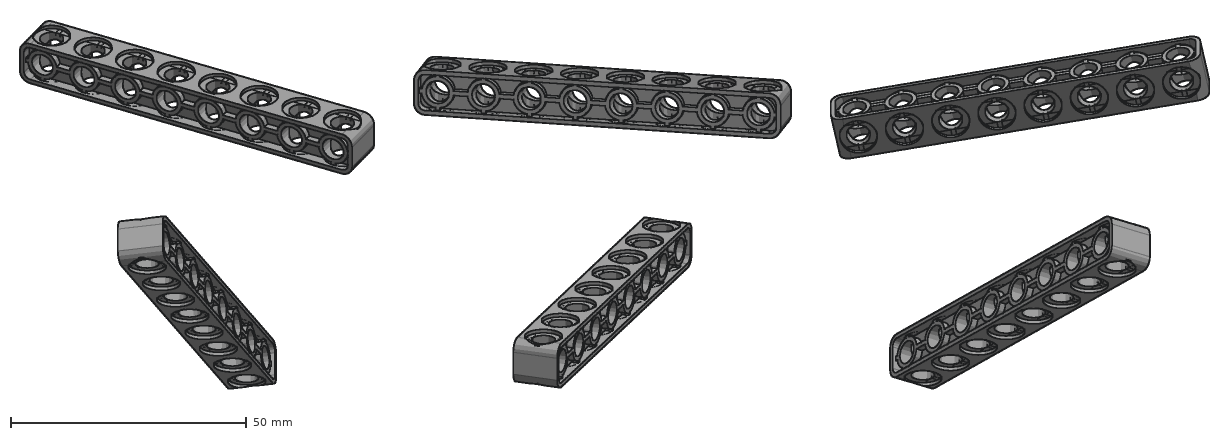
import cadquery as cq

length = 80.0
hole_count = 8
pitch = length / hole_count
side = pitch
corner_radius = side / 4

hole_diameter = side / 2
counterbore_diameter = 8.0
counterbore_depth = 0.8

wall = (side - counterbore_diameter) / 2
ring_diameter = hole_diameter + 2 * wall
pocket_depth = 2.3
ring_recess = 0.8

hole_points = [((i - (hole_count - 1) / 2) * pitch, 0) for i in range(hole_count)]


def y_plane(y):
    """Workplane parallel to XZ at the given Y, extruding toward +Y."""
    return cq.Workplane(cq.Plane(origin=(0, y, 0), xDir=(1, 0, 0), normal=(0, 1, 0)))


def z_plane(z):
    """Workplane parallel to XY at the given Z, extruding toward +Z."""
    return cq.Workplane("XY", origin=(0, 0, z))


def discs(plane, diameter, height):
    """One disc per hole station, extruded from the plane."""
    return plane.pushPoints(hole_points).circle(diameter / 2).extrude(height)


def rounded_bar(inset, depth):
    """Beam outline offset inward by inset, extruded from the -Y face."""
    return (
        y_plane(-side / 2)
        .rect(length - 2 * inset, side - 2 * inset)
        .extrude(depth)
        .edges("|Y")
        .fillet(corner_radius - inset)
    )


def pocket_cutter():
    """Material removed from the -Y face, leaving recessed rings joined by a web and ribs."""
    base = y_plane(-side / 2 + ring_recess)
    height = pocket_depth - ring_recess
    rings = discs(base, ring_diameter, height)
    web = base.rect(length, wall).extrude(height)
    ribs = base.pushPoints(hole_points).rect(wall, side).extrude(height)
    return rounded_bar(wall, pocket_depth).cut(rings).cut(web).cut(ribs)


beam = rounded_bar(0, side)

pocket = pocket_cutter()
beam = beam.cut(pocket).cut(pocket.mirror("XZ"))

for floor in (-side / 2, side / 2 - counterbore_depth):
    beam = beam.cut(discs(z_plane(floor), counterbore_diameter, counterbore_depth))

for plane in (y_plane(-side / 2), z_plane(-side / 2)):
    beam = beam.cut(discs(plane, hole_diameter, side))

result = beam